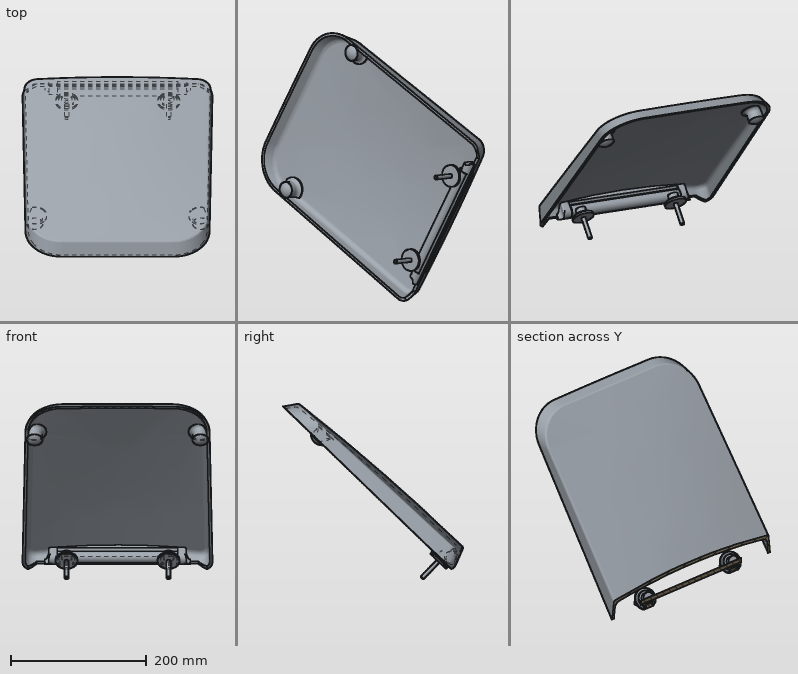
import cadquery as cq
import math

TILT = 44.0
SIDES = (-1, 1)

FRONT_Y = -176.0
FRONT_BOW = 1.0
HINGE_Y = 171.6
HALF_WIDTH_FRONT = 135.2
HALF_WIDTH_HINGE = 140.5
FRONT_CORNER_R = 53.3
HINGE_CORNER_R = 19.0
FRONT_LEAN = 0.72
SIDE_LEAN = 0.12
HINGE_LEAN = 0.37
DRAFT_HEIGHT = 45.0

CROWN_STATIONS = [(-196.3, 15.7, 16.8), (0.0, 31.5, 22.5), (182.3, 35.3, 26.6)]
CROWN_SIDE_X = 134.5
CROWN_BASE_Z = -14.0
CROWN_FILLET = 3.6

WALL = 4.2
HINGE_WALL = 5.0
CROWN_THICKNESS = 5.0
CEILING_FILLET = 7.9

BLOCK_HALF_WIDTH = 101.0
BLOCK_Y = 148.0
BLOCK_Z = 3.0
BLOCK_CORNER_R = 2.2
BLOCK_NOSE_R = 9.3
BLOCK_ROOT_Y = 161.5
BLOCK_BLEND_R = 6.2
NOTCH_Z = 10.7
NOTCH_HALF_WIDTH = 119.0
NOTCH_MOUTH_HALF_WIDTH = 132.5
NOTCH_Y = 151.5

ROD_R = 8.7
ROD_Y = 154.3
ROD_Z = 11.5
ROD_HALF_LENGTH = 88.5

SLOT_TOP_Z = 21.0
SLOT_LIP_R = 3.5

STUD_X = 75.2
STUD_Y = 145.8
STUD_R = 3.0
STUD_TIP_Z = -39.8
STUD_CHAMFER = 0.8
DISC_R = 16.3
DISC_TOP_Z = -2.0
DISC_BOTTOM_Z = -5.3
FLANGE_R = 12.0
FLANGE_TOP_Z = 0.8
POST_R = 7.9
POST_TOP_Z = 9.5

BUMPER_X = 122.3
BUMPER_Y = -107.5
BUMPER_R = 12.0
BUMPER_DOME = 4.8
BUMPER_SPHERE_R = (BUMPER_R**2 + BUMPER_DOME**2) / (2 * BUMPER_DOME)
BOSS_R = 11.5
BOSS_FOOT_Z = -1.0
BOSS_FLARE_R = 6.2
BOSS_FLARE_Z = 8.7


def outline(z, inset, hinge_inset):
    """Closed outline of the leaning walls at height z, moved inwards by the insets."""
    front_y = FRONT_Y + FRONT_LEAN * z + inset
    hinge_y = HINGE_Y - HINGE_LEAN * z - hinge_inset
    front_x = HALF_WIDTH_FRONT - SIDE_LEAN * z - inset
    hinge_x = HALF_WIDTH_HINGE - SIDE_LEAN * z - inset
    wire = (
        cq.Workplane("XY", origin=(0, 0, z))
        .moveTo(-front_x, front_y)
        .threePointArc((0, front_y - FRONT_BOW), (front_x, front_y))
        .lineTo(hinge_x, hinge_y)
        .lineTo(-hinge_x, hinge_y)
        .close()
        .val()
    )
    middle_y = (front_y + hinge_y) / 2
    front_corners = [v for v in wire.Vertices() if v.Y < middle_y]
    wire = wire.fillet2D(FRONT_CORNER_R - inset, front_corners)
    hinge_corners = [v for v in wire.Vertices() if v.Y > hinge_y - WALL]
    return wire.fillet2D(HINGE_CORNER_R - inset, hinge_corners)


def leaning_body(inset, hinge_inset, bottom_z=0.0):
    """Solid inside the walls, from bottom_z to above the crown."""
    wires = [outline(z, inset, hinge_inset) for z in (bottom_z, DRAFT_HEIGHT)]
    return cq.Workplane(cq.Solid.makeLoft(wires, True))


def under_crown(depth):
    """Solid below the domed crown surface lowered by depth."""
    sections = []
    for y, middle_z, side_z in CROWN_STATIONS:
        reach_x = CROWN_SIDE_X + HINGE_CORNER_R
        reach_z = middle_z + (side_z - middle_z) * (reach_x / CROWN_SIDE_X) ** 2
        section = (
            cq.Workplane("XZ", origin=(0, y, -depth))
            .moveTo(-reach_x, reach_z)
            .threePointArc((0, middle_z), (reach_x, reach_z))
            .lineTo(reach_x, CROWN_BASE_Z)
            .lineTo(-reach_x, CROWN_BASE_Z)
            .close()
            .val()
        )
        sections.append(section)
    return cq.Workplane(cq.Solid.makeLoft(sections))


def lid_outside():
    body = leaning_body(0, 0).intersect(under_crown(0))
    return body.faces(">Z").edges().fillet(CROWN_FILLET)


def lid_cavity():
    body = leaning_body(WALL, HINGE_WALL).intersect(under_crown(CROWN_THICKNESS))
    return body.faces(">Z").edges().fillet(CEILING_FILLET)


def hinge_block():
    """Thick middle of the hinge wall: a plan that flares into the wall, with a round nose towards the rim."""
    root_x = BLOCK_HALF_WIDTH + BLOCK_BLEND_R
    bend = BLOCK_BLEND_R * (1 - math.sqrt(0.5))
    half_plan = (
        cq.Workplane("XY")
        .moveTo(0, BLOCK_Y)
        .lineTo(BLOCK_HALF_WIDTH - BLOCK_CORNER_R, BLOCK_Y)
        .radiusArc((BLOCK_HALF_WIDTH, BLOCK_Y + BLOCK_CORNER_R), -BLOCK_CORNER_R)
        .lineTo(BLOCK_HALF_WIDTH, BLOCK_ROOT_Y - BLOCK_BLEND_R)
        .threePointArc((BLOCK_HALF_WIDTH + bend, BLOCK_ROOT_Y - bend), (root_x, BLOCK_ROOT_Y))
        .lineTo(root_x, HINGE_Y)
        .lineTo(0, HINGE_Y)
        .close()
        .extrude(DRAFT_HEIGHT)
    )
    plan = half_plan.union(half_plan.mirror("YZ"))
    back_y = BLOCK_Y + 2 * BLOCK_NOSE_R
    nose_z = BLOCK_Z + BLOCK_NOSE_R
    profile = (
        cq.Workplane("YZ", origin=(-root_x, 0, 0))
        .moveTo(BLOCK_Y, nose_z)
        .threePointArc((BLOCK_Y + BLOCK_NOSE_R, BLOCK_Z), (back_y, nose_z))
        .lineTo(back_y, DRAFT_HEIGHT)
        .lineTo(BLOCK_Y, DRAFT_HEIGHT)
        .close()
        .extrude(2 * root_x)
    )
    return plan.intersect(profile)


def rim_notch():
    """Cut that lifts the hinge rim between the two hinge corners."""
    return (
        cq.Workplane("XZ", origin=(0, HINGE_Y, 0))
        .moveTo(-NOTCH_MOUTH_HALF_WIDTH, 0)
        .lineTo(-NOTCH_HALF_WIDTH, NOTCH_Z)
        .lineTo(NOTCH_HALF_WIDTH, NOTCH_Z)
        .lineTo(NOTCH_MOUTH_HALF_WIDTH, 0)
        .close()
        .extrude(HINGE_Y - NOTCH_Y)
    )


def rod_slot():
    """Slot as long as the rod, open towards the rim and the cavity; the rod touches its back and its ends."""
    back_y = ROD_Y + ROD_R
    return (
        cq.Workplane("YZ", origin=(-ROD_HALF_LENGTH, 0, 0))
        .moveTo(BLOCK_Y, 0)
        .lineTo(back_y, 0)
        .lineTo(back_y, SLOT_TOP_Z)
        .lineTo(BLOCK_Y + SLOT_LIP_R, SLOT_TOP_Z)
        .radiusArc((BLOCK_Y, SLOT_TOP_Z + SLOT_LIP_R), -SLOT_LIP_R)
        .close()
        .extrude(2 * ROD_HALF_LENGTH)
    )


def bumper_boss(x):
    """Round boss that flares into the ceiling."""
    flare_z = BOSS_FLARE_Z + BOSS_FLARE_R
    flare_r = BOSS_R + BOSS_FLARE_R
    middle = BOSS_FLARE_R * (1 - math.sqrt(0.5))
    return (
        cq.Workplane("XZ")
        .moveTo(0, BOSS_FOOT_Z)
        .lineTo(BOSS_R, BOSS_FOOT_Z)
        .lineTo(BOSS_R, BOSS_FLARE_Z)
        .threePointArc((BOSS_R + middle, flare_z - middle), (flare_r, flare_z))
        .lineTo(flare_r, DRAFT_HEIGHT)
        .lineTo(0, DRAFT_HEIGHT)
        .close()
        .revolve(360, (0, 0), (0, 1))
        .translate((x, BUMPER_Y, 0))
    )


def make_lid():
    trim = leaning_body(WALL / 2, HINGE_WALL / 2, BOSS_FOOT_Z).intersect(under_crown(CROWN_THICKNESS / 2))
    lid = lid_outside().cut(lid_cavity()).cut(rim_notch())
    lid = lid.union(hinge_block().intersect(trim))
    for side in SIDES:
        lid = lid.union(bumper_boss(side * BUMPER_X).intersect(trim))
    return lid.cut(rod_slot())


def make_rod():
    """Plain round rod on the hinge axis."""
    return (
        cq.Workplane("YZ", origin=(-ROD_HALF_LENGTH, ROD_Y, ROD_Z))
        .circle(ROD_R)
        .extrude(2 * ROD_HALF_LENGTH)
    )


def make_post(x):
    """Stepped round post on a base disc, hollowed where the rod rests on it."""
    post = (
        cq.Workplane("XY", origin=(x, STUD_Y, DISC_BOTTOM_Z))
        .circle(DISC_R).extrude(DISC_TOP_Z - DISC_BOTTOM_Z)
        .faces(">Z").workplane().circle(FLANGE_R).extrude(FLANGE_TOP_Z - DISC_TOP_Z)
        .faces(">Z").workplane().circle(POST_R).extrude(POST_TOP_Z - FLANGE_TOP_Z)
    )
    return post.cut(make_rod())


def make_stud(x):
    return (
        cq.Workplane("XY", origin=(x, STUD_Y, STUD_TIP_Z))
        .circle(STUD_R)
        .extrude(DISC_BOTTOM_Z - STUD_TIP_Z)
        .faces("<Z").chamfer(STUD_CHAMFER)
    )


def make_bumper(x):
    """Spherical cap under a boss."""
    return (
        cq.Workplane("XZ")
        .moveTo(0, BOSS_FOOT_Z)
        .lineTo(BUMPER_R, BOSS_FOOT_Z)
        .radiusArc((0, BOSS_FOOT_Z - BUMPER_DOME), BUMPER_SPHERE_R)
        .close()
        .revolve(360, (0, 0), (0, 1))
        .translate((x, BUMPER_Y, 0))
    )


def tilted(body):
    """The solid of a flat-modelled body, swung to its final tilt."""
    return body.rotate((0, 0, 0), (1, 0, 0), -TILT).val()


lid = tilted(make_lid())
rod = tilted(make_rod())
posts = [tilted(make_post(side * STUD_X)) for side in SIDES]
studs = [tilted(make_stud(side * STUD_X)) for side in SIDES]
bumpers = [tilted(make_bumper(side * BUMPER_X)) for side in SIDES]
result = cq.Compound.makeCompound([lid, rod, *posts, *studs, *bumpers])